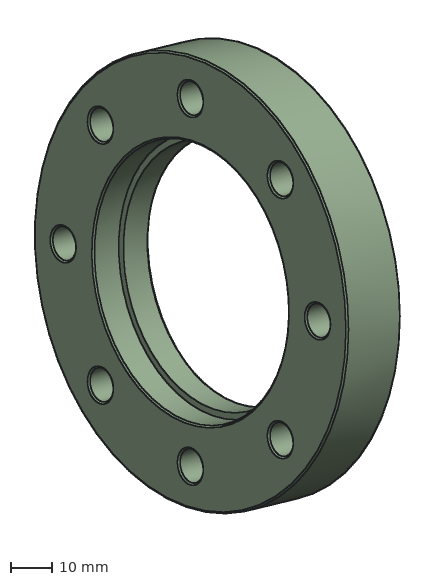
import cadquery as cq

outer_diameter = 113.5
thickness = 17.5
bore_diameter = 67.0
recess_diameter = 70.4
recess_depth = 8.3
edge_chamfer = 0.5
bore_back_chamfer = 1.5

hole_count = 8
hole_diameter = 8.4
hole_circle_diameter = 92.0
hole_chamfer = 0.5

front_y = -thickness / 2


def front_plane():
    """Front face plane, whose normal points out of the part towards -Y."""
    return cq.Workplane("XZ", origin=(0, front_y, 0))


def ring_blank():
    blank = front_plane().circle(outer_diameter / 2).extrude(-thickness)
    blank = blank.edges().chamfer(edge_chamfer)
    bore = front_plane().circle(bore_diameter / 2).extrude(-thickness)
    blank = blank.cut(bore)
    bore_back_edge = blank.faces(">Y").edges(cq.selectors.RadiusNthSelector(0))
    return bore_back_edge.chamfer(bore_back_chamfer)


def recess():
    """Stepped recess around the bore, with a chamfered mouth."""
    radius = recess_diameter / 2
    pocket = front_plane().circle(radius).extrude(-recess_depth)
    return pocket.union(chamfer_cone(radius, edge_chamfer))


def chamfer_cone(radius, chamfer):
    """Cone that breaks the front edge of a hole by 45 degrees."""
    cone = cq.Solid.makeCone(
        radius + chamfer, radius, chamfer, cq.Vector(0, front_y, 0), cq.Vector(0, 1, 0)
    )
    return cq.Workplane(cone)


def bolt_hole():
    """Through hole at the +X position, with a chamfered mouth."""
    radius = hole_diameter / 2
    drill = front_plane().circle(radius).extrude(-thickness)
    drill = drill.union(chamfer_cone(radius, hole_chamfer))
    return drill.translate((hole_circle_diameter / 2, 0, 0))


result = ring_blank().cut(recess())
for index in range(hole_count):
    angle = index * 360 / hole_count
    result = result.cut(bolt_hole().rotate((0, 0, 0), (0, 1, 0), angle))